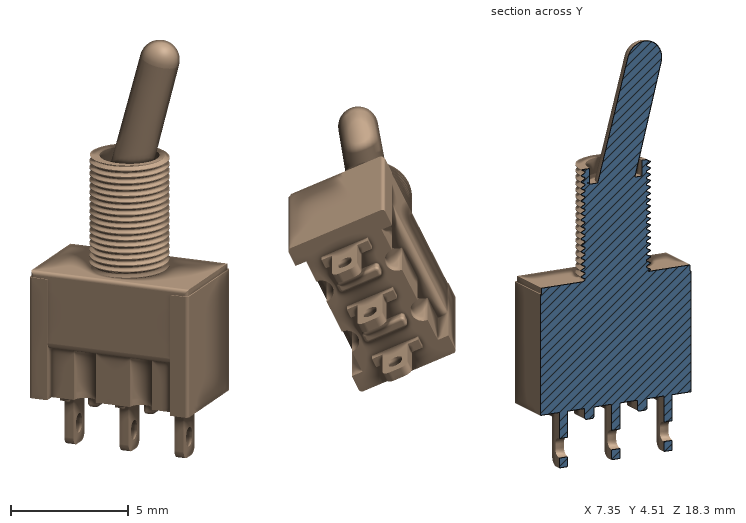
import cadquery as cq
import math


body_length = 7.23
body_width = 4.4
body_height = 5.63
body_edge_radius = 0.16
body_corner_radius = 0.137

bracket_length = 7.35
bracket_width = 4.51
bracket_setback = 0.27
bracket_height = body_height - bracket_setback
bracket_corner_radius = 0.15
flange_length = 0.84
flange_gap = bracket_length - 2 * flange_length

recess_depth = 0.44
recess_height = 2.25
recess_lip_radius = 0.27
groove_diameter = 1.02

terminal_pitch = 2.54
terminal_length = 2.45
terminal_thickness = 0.42
terminal_width = 1.17
terminal_corner_radius = 0.35
shoulder_width = 2.15
shoulder_height = 0.33
eyelet_width = 0.62
eyelet_height = 0.84
eyelet_rise = 0.88
standoff_pitch = 2.58
standoff_thickness = 0.5
standoff_width = 1.97
standoff_height = 0.5
standoff_corner_radius = 0.155
standoff_edge_radius = 0.13

bushing_height = 4.95
bushing_top = body_height + bushing_height
thread_root_diameter = 3.01
thread_crest_diameter = 3.4
thread_turns_in_bushing = 17.7
thread_pitch = bushing_height / thread_turns_in_bushing
thread_root_width = 0.24
thread_crest_width = 0.04
thread_overlap = 0.02
thread_turns = 20
thread_lead_in = 0.5
stock_allowance = 1.1
stock_seam_angle = 37
bore_diameter = 2.54
bore_depth = 0.7

lever_tilt = 15
lever_tip_diameter = 1.7
lever_base_diameter = 1.77
overall_height = 18.27
lever_top = overall_height - terminal_length
lever_foot_depth = 1.19
lever_foot_height = bushing_top - lever_foot_depth
lever_foot_x = -0.1


def rounded_block(length, width, height, radius):
    """Upright block on Z = 0 with its four vertical edges rounded."""
    return cq.Workplane("XY").rect(length, width).extrude(height).edges("|Z").fillet(radius)


def make_body():
    core = rounded_block(body_length, body_width, body_height, body_corner_radius)
    rounded_top = (
        cq.Workplane("XY")
        .box(body_length, body_width, body_height, centered=(True, True, False))
        .edges("|X and >Z")
        .fillet(body_edge_radius)
    )
    return core.intersect(rounded_top)


def make_bracket():
    sleeve = rounded_block(bracket_length, bracket_width, bracket_height, bracket_corner_radius)
    window = cq.Workplane("XY").box(flange_gap, bracket_width, 2 * bracket_height)
    return sleeve.cut(window)


def make_recess(side):
    """Cutter for the recess on the long side at side * Y."""
    face = side * body_width / 2
    wall = side * (body_width / 2 - recess_depth)
    arc_middle = recess_lip_radius * (1 - math.sqrt(0.5))
    recess = (
        cq.Workplane("YZ", origin=(-flange_gap / 2, 0, 0))
        .moveTo(wall, 0)
        .lineTo(wall, recess_height)
        .lineTo(face - side * recess_lip_radius, recess_height)
        .threePointArc(
            (face - side * arc_middle, recess_height + arc_middle),
            (face, recess_height + recess_lip_radius),
        )
        .lineTo(face, 0)
        .close()
        .extrude(flange_gap)
    )
    grooves = (
        cq.Workplane("XY")
        .pushPoints([(-standoff_pitch / 2, wall), (standoff_pitch / 2, wall)])
        .circle(groove_diameter / 2)
        .extrude(recess_height)
    )
    return recess.union(grooves)


def make_terminal(x):
    blade = (
        cq.Workplane("XY")
        .box(terminal_thickness, terminal_width, terminal_length, centered=(True, True, False))
        .translate((x, 0, -terminal_length))
        .edges("|X and <Z")
        .fillet(terminal_corner_radius)
    )
    shoulder = (
        cq.Workplane("XY")
        .box(terminal_thickness, shoulder_width, shoulder_height, centered=(True, True, False))
        .translate((x, 0, -shoulder_height))
    )
    eyelet = (
        cq.Workplane("YZ", origin=(x, 0, eyelet_rise - terminal_length))
        .slot2D(eyelet_height, eyelet_width, 90)
        .extrude(terminal_thickness, both=True)
    )
    return blade.union(shoulder).cut(eyelet)


def make_standoff(x):
    """Bar across the underside with rounded corners and a rounded lower edge."""
    return (
        cq.Workplane("XY")
        .center(x, 0)
        .rect(standoff_thickness, standoff_width)
        .extrude(-standoff_height)
        .edges("|Z")
        .fillet(standoff_corner_radius)
        .faces("<Z")
        .edges()
        .fillet(standoff_edge_radius)
    )


def make_thread_ridge():
    """Right-hand V ridge, its flanks ruled between helices through the profile corners."""
    root_radius = thread_root_diameter / 2
    crest_radius = thread_crest_diameter / 2
    flank_slope = (thread_root_width - thread_crest_width) / 2 / (crest_radius - root_radius)
    inner_half = thread_root_width / 2 + flank_slope * thread_overlap
    crest_half = thread_crest_width / 2
    profile = [
        (root_radius - thread_overlap, -inner_half),
        (crest_radius, -crest_half),
        (crest_radius, crest_half),
        (root_radius - thread_overlap, inner_half),
    ]
    ridge_height = thread_turns * thread_pitch
    helices = [
        cq.Wire.makeHelix(thread_pitch, ridge_height, radius).translate(cq.Vector(0, 0, height))
        for radius, height in profile
    ]
    following = helices[1:] + helices[:1]
    sides = [cq.Face.makeRuledSurface(lower, upper) for lower, upper in zip(helices, following)]
    corners = [cq.Vector(radius, 0, height) for radius, height in profile]
    start_face = cq.Face.makeFromWires(cq.Wire.makePolygon(corners, close=True))
    end_face = start_face.translate(cq.Vector(0, 0, ridge_height))
    shell = cq.Shell.makeShell(sides + [start_face, end_face])
    return cq.Workplane(obj=cq.Solid.makeSolid(shell))


def make_bushing():
    """Bored barrel whose thread runs out through both of its ends."""
    ridge = make_thread_ridge().translate((0, 0, body_height - thread_lead_in))
    stock = (
        cq.Workplane("XY")
        .circle(thread_root_diameter / 2)
        .extrude(bushing_height + 2 * stock_allowance)
        .rotate((0, 0, 0), (0, 0, 1), stock_seam_angle)
        .translate((0, 0, body_height - stock_allowance))
    )
    envelope = (
        cq.Workplane("XY", origin=(0, 0, body_height))
        .rect(2 * thread_crest_diameter, 2 * thread_crest_diameter)
        .extrude(bushing_height)
    )
    bore = (
        cq.Workplane("XY", origin=(0, 0, bushing_top - bore_depth))
        .circle(bore_diameter / 2)
        .extrude(bore_depth)
    )
    return stock.union(ridge, clean=False).intersect(envelope, clean=False).cut(bore)


def make_lever():
    """Slightly tapered round lever with a domed tip, leaning toward +X."""
    tip_radius = lever_tip_diameter / 2
    tip_center_height = lever_top - tip_radius
    shaft_length = (tip_center_height - lever_foot_height) / math.cos(math.radians(lever_tilt))
    return (
        cq.Workplane("XZ")
        .lineTo(lever_base_diameter / 2, 0)
        .lineTo(tip_radius, shaft_length)
        .threePointArc(
            (tip_radius * math.sqrt(0.5), shaft_length + tip_radius * math.sqrt(0.5)),
            (0, shaft_length + tip_radius),
        )
        .close()
        .revolve(360, (0, 0, 0), (0, 1, 0))
        .rotate((0, 0, 0), (0, 1, 0), lever_tilt)
        .translate((lever_foot_x, 0, lever_foot_height))
    )


result = make_body().union(make_bracket())
for side in (-1, 1):
    result = result.cut(make_recess(side))
for position in (-1, 0, 1):
    result = result.union(make_terminal(position * terminal_pitch))
for side in (-1, 1):
    result = result.union(make_standoff(side * standoff_pitch / 2))
result = result.union(make_bushing())
result = result.union(make_lever())